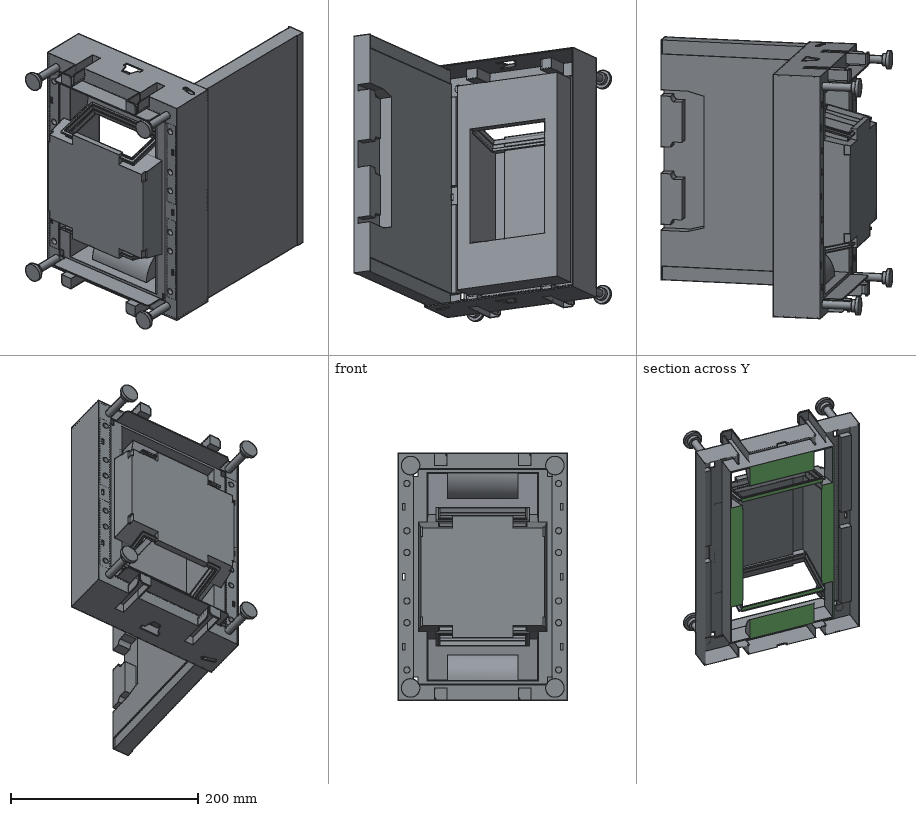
import cadquery as cq
import math

SHEET = 1.3
FRAME_WIDTH = 181.0
FRAME_HEIGHT = 264.0
FRAME_FRONT = -84.8
FRAME_BACK = -33.3
OPENING_WIDTH = 148.2
OPENING_HEIGHT = 229.0
OUTLET_FRONT = -112.2


def box(x_range, y_range, z_range):
    """A box from its lower and upper limits along X, Y and Z."""
    sizes = [high - low for low, high in (x_range, y_range, z_range)]
    corner = (x_range[0], y_range[0], z_range[0])
    return cq.Workplane("XY").box(*sizes, centered=False).translate(corner)


def centred_box(width, y_range, height):
    """A box centred on X = 0 and Z = 0."""
    return box((-width / 2, width / 2), y_range, (-height / 2, height / 2))


def mirrored_in_z(shape):
    """The shape together with its mirror image below Z = 0."""
    return shape.union(shape.mirror("XY"))


def mirrored_in_x(shape):
    """The shape together with its mirror image on the other side of X = 0."""
    return shape.union(shape.mirror("YZ"))


def extruded_across(points, width):
    """A closed (Y, Z) outline extruded symmetrically along X."""
    return cq.Workplane("YZ").polyline(points).close().extrude(width / 2, both=True)


LIP_WIDTH = 132.5
LIP_FRONT = -103.5
LIP_CORNER = 2.6

RAIL_INNER = 75.8
RAIL_OUTER = 87.7
RAIL_DEPTH = 6.5
RAIL_START = 10.5
RAIL_END = 108.3
RAIL_HOLE_X = 81.0
RAIL_HOLE_DIAMETER = 6.5
RAIL_HOLE_DEPTH = 5.3
RAIL_HOLE_HEIGHTS = (26.0, 49.0, 99.5)
SLOT_X = 84.5
SLOT_WIDTH = 2.5
SLOT_HEIGHT = 6.5
SLOT_PITCH = 74.7

SCREW_X = 77.0
SCREW_Z = 118.8
SHANK_DIAMETER = 8.5
COLLAR_DIAMETER = 13.2
COLLAR_BACK = -117.0
HEAD_DIAMETER = 19.8
HEAD_BACK = -121.8
HEAD_FRONT = -125.2

HOOK_X = 45.0
HOOK_WIDTH = 13.2
HOOK_SLOT_WIDTH = 10.8
HOOK_BOTTOM = 119.0
HOOK_FLOOR = HOOK_BOTTOM + SHEET
HOOK_GAP_BACK = -102.2
HOOK_ROUND = 3.5
HOOK_CORNER = 2.6
HOOK_FRONT = -107.5
HOOK_SLOT_FRONT = -105.6
HOOK_SLOT_BACK = -57.3

CATCH_WIDTH = 22.7
CATCH_BACK = -47.0
CATCH_FRONT = -52.0
TONGUE_ROOT = -63.5
TONGUE_ROOT_WIDTH = 9.5
TONGUE_TIP_WIDTH = 17.0
TONGUE_DROP = 6.5

HINGE_SLOT_X = 76.5
HINGE_SLOT_Y = -48.3
HINGE_SLOT_LENGTH = 17.5
HINGE_SLOT_WIDTH = 5.0
HINGE_SLOT_ANGLE = -14.0


def make_tray():
    tray = centred_box(FRAME_WIDTH, (FRAME_FRONT, FRAME_BACK), FRAME_HEIGHT)
    hollow = centred_box(
        FRAME_WIDTH - 2 * SHEET, (FRAME_FRONT + SHEET, FRAME_BACK), FRAME_HEIGHT - 2 * SHEET
    )
    opening = centred_box(OPENING_WIDTH, (FRAME_FRONT, FRAME_BACK), OPENING_HEIGHT)
    return tray.cut(hollow).cut(opening)


def make_lips():
    """Thin plates bent forward from the upper and lower edges of the opening."""
    base = OPENING_HEIGHT / 2
    lip = box(
        (-LIP_WIDTH / 2, LIP_WIDTH / 2), (LIP_FRONT, FRAME_FRONT + SHEET), (base, base + SHEET)
    )
    return mirrored_in_z(lip.edges("|Z and <Y").chamfer(LIP_CORNER))


def make_rails():
    """Backing bars behind the front sheet, two on each side."""
    back = FRAME_FRONT + SHEET
    rail = box((RAIL_INNER, RAIL_OUTER), (back, back + RAIL_DEPTH), (RAIL_START, RAIL_END))
    return mirrored_in_x(mirrored_in_z(rail))


def make_rail_holes():
    points = [
        (side * RAIL_HOLE_X, end * height)
        for side in (-1, 1)
        for end in (-1, 1)
        for height in RAIL_HOLE_HEIGHTS
    ]
    front = cq.Workplane("XZ", origin=(0, FRAME_FRONT, 0))
    return front.pushPoints(points).circle(RAIL_HOLE_DIAMETER / 2).extrude(-RAIL_HOLE_DEPTH)


def make_rail_slots():
    """Slots through the front sheet only."""
    points = [(side * SLOT_X, row * SLOT_PITCH) for side in (-1, 1) for row in (-1, 0, 1)]
    front = cq.Workplane("XZ", origin=(0, FRAME_FRONT, 0))
    return front.pushPoints(points).rect(SLOT_WIDTH, SLOT_HEIGHT).extrude(-SHEET)


def make_screws():
    """Shank, collar and head of the four corner screws."""
    steps = (
        (SHANK_DIAMETER, FRAME_FRONT + SHEET, COLLAR_BACK),
        (COLLAR_DIAMETER, COLLAR_BACK, HEAD_BACK),
        (HEAD_DIAMETER, HEAD_BACK, HEAD_FRONT),
    )
    screw = cq.Workplane("XZ")
    for diameter, back, front in steps:
        step = cq.Workplane("XZ", origin=(SCREW_X, back, SCREW_Z)).circle(diameter / 2)
        screw = screw.union(step.extrude(back - front))
    return mirrored_in_x(mirrored_in_z(screw))


def make_hooks(width, y_range, bottom):
    """Upright blocks at the two upper hook places."""
    top = FRAME_HEIGHT / 2
    block = box((HOOK_X - width / 2, HOOK_X + width / 2), y_range, (bottom, top))
    return mirrored_in_x(block)


def make_hook_gaps():
    """Gap in the right-hand side wall of each upper hook, just behind its end wall."""
    top = FRAME_HEIGHT / 2
    outline = cq.Workplane("YZ").moveTo(HOOK_SLOT_FRONT, HOOK_FLOOR).lineTo(HOOK_GAP_BACK, HOOK_FLOOR)
    outline = outline.lineTo(HOOK_GAP_BACK, top - HOOK_ROUND)
    outline = outline.radiusArc((HOOK_GAP_BACK + HOOK_ROUND, top), HOOK_ROUND)
    gap = outline.lineTo(HOOK_SLOT_FRONT, top).close().extrude(HOOK_WIDTH / 2)
    return gap.translate((-HOOK_X, 0, 0)).union(gap.translate((HOOK_X, 0, 0)))


def make_hook_corners():
    """Wedges that clip the upper right corner of each end wall."""
    top = FRAME_HEIGHT / 2
    edge = HOOK_WIDTH / 2
    wedge = cq.Workplane("XZ", origin=(0, HOOK_SLOT_FRONT, 0))
    wedge = wedge.polyline([(edge, top), (edge - HOOK_CORNER, top), (edge, top - HOOK_CORNER)]).close()
    wedge = wedge.extrude(HOOK_SLOT_FRONT - HOOK_FRONT)
    return wedge.translate((-HOOK_X, 0, 0)).union(wedge.translate((HOOK_X, 0, 0)))


def on_both_ends(shape):
    """The shape together with a copy turned half a revolution about Y."""
    return shape.union(shape.rotate((0, 0, 0), (0, 1, 0), 180))


def make_troughs():
    """Everything removed from the hooks: the troughs, side gaps and clipped corners."""
    slots = make_hooks(HOOK_SLOT_WIDTH, (HOOK_SLOT_FRONT, HOOK_SLOT_BACK), HOOK_FLOOR)
    return on_both_ends(slots.union(make_hook_gaps()).union(make_hook_corners()))


def make_tongue_outline():
    points = [
        (-TONGUE_TIP_WIDTH / 2, CATCH_FRONT),
        (TONGUE_TIP_WIDTH / 2, CATCH_FRONT),
        (TONGUE_ROOT_WIDTH / 2, TONGUE_ROOT),
        (-TONGUE_ROOT_WIDTH / 2, TONGUE_ROOT),
    ]
    return cq.Workplane("XY").polyline(points).close().extrude(FRAME_HEIGHT / 2, both=True)


def make_catch_slots():
    slot = box(
        (-CATCH_WIDTH / 2, CATCH_WIDTH / 2),
        (CATCH_FRONT, CATCH_BACK),
        (-FRAME_HEIGHT / 2, FRAME_HEIGHT / 2),
    )
    return slot.union(make_tongue_outline())


def make_tongues():
    """Tapered tongues bent inward out of the top and bottom walls."""
    top = FRAME_HEIGHT / 2
    sloped_strip = extruded_across(
        [
            (TONGUE_ROOT, top),
            (TONGUE_ROOT, top - SHEET),
            (CATCH_FRONT, top - SHEET - TONGUE_DROP),
            (CATCH_FRONT, top - TONGUE_DROP),
        ],
        CATCH_WIDTH,
    )
    return mirrored_in_z(sloped_strip.intersect(make_tongue_outline()))


def make_hinge_slots():
    slot = cq.Workplane("XY").slot2D(HINGE_SLOT_LENGTH, HINGE_SLOT_WIDTH, HINGE_SLOT_ANGLE)
    slot = slot.extrude(FRAME_HEIGHT / 2, both=True)
    return slot.translate((HINGE_SLOT_X, HINGE_SLOT_Y, 0))


def make_frame():
    frame = make_tray().union(make_lips()).union(make_rails())
    hooks = make_hooks(HOOK_WIDTH, (HOOK_FRONT, HOOK_SLOT_BACK + SHEET), HOOK_BOTTOM)
    frame = frame.union(on_both_ends(hooks)).cut(make_troughs())
    frame = frame.cut(make_rail_holes()).cut(make_rail_slots())
    frame = frame.cut(make_catch_slots()).union(make_tongues())
    return frame.cut(make_hinge_slots()).union(make_screws())


INSERT_FRONT = FRAME_FRONT + SHEET
FLANGE_OVERLAP = 1.3
NOTCH_WIDTH = 4.8
NOTCH_HEIGHT = 7.0
WINDOW_WIDTH = 118.8
WINDOW_HEIGHT = 222.5
WINDOW_DRAFT = 1.0
SLEEVE_WALL = 1.3
INSERT_BACK = CATCH_FRONT

WALL_END_Y = -53.5
WALL_FOOT_Y = -56.0
MIDDLE_BACK_HALF = 66.3
COVER_BACK_WIDTH = 137.5
COVER_BACK_HEIGHT = 116.7
COVER_FRONT_WIDTH = 132.0
COVER_FRONT_HEIGHT = 104.5
COVER_WALL = 3.2

TAB_WIDTH = 65.0
TAB_HEIGHT = 129.5
TAB_BACK = -105.6

POCKET_INNER_X = 64.2
POCKET_BOTTOM = 43.0
POCKET_TOP = 53.3

SOCKET_WIDTH = 100.4
SOCKET_LENGTH = 53.5
SOCKET_DEPTH = 13.2
SOCKET_TILT = 14.0
SOCKET_Y = -84.2
SOCKET_Z = 67.3
COLLAR_WIDTH = 3.0
COLLAR_DEPTH = 2.0
SOCKET_WALL = 1.8
SOCKET_RISE = 1.0
MOUTH_INSET = COLLAR_WIDTH + SOCKET_WALL
MOUTH_DEPTH = 4.5
MOUTH_STEP = 0.8

RAMP_WIDTH = 75.3
RAMP_FRONT = -72.5
RAMP_HEIGHT = 27.7
RAMP_RADIUS = 31.7


def make_flange():
    width = OPENING_WIDTH + 2 * FLANGE_OVERLAP
    height = OPENING_HEIGHT + 2 * FLANGE_OVERLAP
    y_range = (INSERT_FRONT, INSERT_FRONT + SHEET)
    notch = box(
        (OPENING_WIDTH / 2 - NOTCH_WIDTH, width / 2),
        y_range,
        (OPENING_HEIGHT / 2 - NOTCH_HEIGHT, height / 2),
    )
    return centred_box(width, y_range, height).cut(mirrored_in_x(mirrored_in_z(notch)))


def make_sleeve():
    """Walls of the window, leaning inward from the flange to the rear."""
    y_range = (INSERT_FRONT, INSERT_BACK)
    outer = centred_box(WINDOW_WIDTH + 2 * SLEEVE_WALL, y_range, WINDOW_HEIGHT + 2 * SLEEVE_WALL)
    window = cq.Workplane("XZ", origin=(0, INSERT_FRONT, 0)).rect(WINDOW_WIDTH, WINDOW_HEIGHT)
    window = window.workplane(offset=INSERT_FRONT - INSERT_BACK)
    window = window.rect(WINDOW_WIDTH - 2 * WINDOW_DRAFT, WINDOW_HEIGHT - 2 * WINDOW_DRAFT)
    return make_flange().union(outer).cut(window.loft(ruled=True))


def make_rear_wall():
    """Sloping rear wall with the raised middle that carries the cover."""
    upper = [
        (INSERT_BACK, WINDOW_HEIGHT / 2),
        (WALL_END_Y, WINDOW_HEIGHT / 2),
        (WALL_FOOT_Y, MIDDLE_BACK_HALF),
        (INSERT_FRONT, COVER_BACK_HEIGHT / 2),
    ]
    lower = [(y, -z) for y, z in reversed(upper)]
    return extruded_across(upper + lower, WINDOW_WIDTH)


def make_cover():
    cover = cq.Workplane("XZ", origin=(0, INSERT_FRONT, 0)).rect(COVER_BACK_WIDTH, COVER_BACK_HEIGHT)
    cover = cover.workplane(offset=INSERT_FRONT - OUTLET_FRONT)
    cover = cover.rect(COVER_FRONT_WIDTH, COVER_FRONT_HEIGHT).loft(ruled=True)
    pocket = box(
        (POCKET_INNER_X, COVER_BACK_WIDTH / 2), (OUTLET_FRONT, TAB_BACK), (POCKET_BOTTOM, POCKET_TOP)
    )
    return cover.cut(mirrored_in_x(mirrored_in_z(pocket)))


def make_socket_block(inset, rise, depth):
    """A pair of tilted blocks; the inset is measured from the collar's edge."""
    block = box(
        (inset - SOCKET_WIDTH / 2, SOCKET_WIDTH / 2 - inset),
        (inset - SOCKET_LENGTH / 2, SOCKET_LENGTH / 2 - inset),
        (-depth, rise),
    )
    block = block.rotate((0, 0, 0), (1, 0, 0), SOCKET_TILT).translate((0, SOCKET_Y, SOCKET_Z))
    return mirrored_in_z(block)


def make_ramps():
    """Rounded cable ramps at both ends of the window."""
    end = WINDOW_HEIGHT / 2
    centre_y = RAMP_FRONT + RAMP_RADIUS
    sweep = math.asin(RAMP_HEIGHT / RAMP_RADIUS)

    def on_arc(angle):
        return (centre_y - RAMP_RADIUS * math.cos(angle), end - RAMP_RADIUS * math.sin(angle))

    ramp = cq.Workplane("YZ").moveTo(RAMP_FRONT, end).threePointArc(on_arc(sweep / 2), on_arc(sweep))
    ramp = ramp.lineTo(INSERT_BACK, end - RAMP_HEIGHT).lineTo(INSERT_BACK, end).close()
    return mirrored_in_z(ramp.extrude(RAMP_WIDTH / 2, both=True))


def make_hollow():
    """Space inside the raised middle and the cover, open at the rear."""
    upper = [
        (INSERT_BACK, MIDDLE_BACK_HALF - COVER_WALL),
        (WALL_FOOT_Y, MIDDLE_BACK_HALF - COVER_WALL),
        (INSERT_FRONT, COVER_BACK_HEIGHT / 2 - COVER_WALL),
        (OUTLET_FRONT + COVER_WALL, COVER_FRONT_HEIGHT / 2 - COVER_WALL),
    ]
    lower = [(y, -z) for y, z in reversed(upper)]
    return extruded_across(upper + lower, SOCKET_WIDTH - 2 * MOUTH_INSET)


def make_insert():
    insert = make_sleeve().union(make_rear_wall()).union(make_ramps()).union(make_cover())
    insert = insert.union(make_socket_block(0, 0, COLLAR_DEPTH))
    insert = insert.union(make_socket_block(COLLAR_WIDTH, SOCKET_RISE, SOCKET_DEPTH))
    insert = insert.cut(make_hollow())
    insert = insert.cut(make_socket_block(MOUTH_INSET, SOCKET_RISE, SOCKET_DEPTH))
    insert = insert.cut(make_socket_block(MOUTH_INSET - MOUTH_STEP, -MOUTH_DEPTH, SOCKET_DEPTH))
    return insert.union(centred_box(TAB_WIDTH, (OUTLET_FRONT, TAB_BACK), TAB_HEIGHT))


DOOR_FACE = 68.5
DOOR_THICKNESS = 18.8
DOOR_HEIGHT = 261.5
DOOR_HINGE_END = -52.8
DOOR_FREE_END = 125.0
DOOR_TILT = -0.8
DOOR_PIVOT = (74.0, -46.2)
HINGE_BORE = 3.7

BORDER_INNER = 115.7
BORDER_STEP = 1.3
BORDER_END = 123.3

RECESS_DEPTH = 14.5
RECESS_HALF = 76.5
RECESS_TAPER_START = 95.5
RECESS_END = 77.6
RECESS_END_HALF = 71.8

BLOCK_Z = 42.3
BLOCK_HALF = 27.7
BLOCK_NECK_Y = 114.0
BLOCK_SHOULDER_Y = 111.0
BLOCK_END = 101.7
BLOCK_END_HALF = 22.0
BLOCK_ROUND = 6.5

EDGE_LIP = 0.8
EDGE_LIP_LENGTH = 8.7


def make_recess():
    points = [
        (DOOR_FREE_END, RECESS_HALF),
        (RECESS_TAPER_START, RECESS_HALF),
        (RECESS_END, RECESS_END_HALF),
        (RECESS_END, -RECESS_END_HALF),
        (RECESS_TAPER_START, -RECESS_HALF),
        (DOOR_FREE_END, -RECESS_HALF),
    ]
    return cq.Workplane("YZ", origin=(DOOR_FACE, 0, 0)).polyline(points).close().extrude(RECESS_DEPTH)


def make_blocks():
    """Two blocks in the recess, each with hollow rounds between its wide and narrow parts."""
    block = cq.Workplane("YZ", origin=(DOOR_FACE, 0, BLOCK_Z)).moveTo(DOOR_FREE_END, BLOCK_HALF)
    block = block.lineTo(BLOCK_NECK_Y, BLOCK_HALF)
    block = block.radiusArc((BLOCK_SHOULDER_Y, BLOCK_END_HALF), BLOCK_ROUND)
    block = block.lineTo(BLOCK_END, BLOCK_END_HALF).lineTo(BLOCK_END, -BLOCK_END_HALF)
    block = block.lineTo(BLOCK_SHOULDER_Y, -BLOCK_END_HALF)
    block = block.radiusArc((BLOCK_NECK_Y, -BLOCK_HALF), BLOCK_ROUND)
    block = block.lineTo(DOOR_FREE_END, -BLOCK_HALF).close()
    return mirrored_in_z(block.extrude(RECESS_DEPTH))


def make_door():
    outer_face = DOOR_FACE + DOOR_THICKNESS
    half = DOOR_HEIGHT / 2
    door = box((DOOR_FACE, outer_face), (DOOR_HINGE_END, DOOR_FREE_END), (-half, half))
    border = box(
        (DOOR_FACE, DOOR_FACE + BORDER_STEP), (DOOR_HINGE_END, BORDER_END), (BORDER_INNER, half)
    )
    edge_lip = box(
        (outer_face, outer_face + EDGE_LIP),
        (DOOR_FREE_END - EDGE_LIP_LENGTH, DOOR_FREE_END),
        (-half, half),
    )
    bore = cq.Workplane("XY").center(*DOOR_PIVOT).circle(HINGE_BORE / 2).extrude(half, both=True)
    door = door.cut(mirrored_in_z(border)).cut(make_recess()).union(make_blocks())
    door = door.union(edge_lip).cut(bore)
    return door.rotate((*DOOR_PIVOT, 0), (*DOOR_PIVOT, 1), DOOR_TILT)


frame = make_frame()
insert = make_insert()
door = make_door()

result = cq.Compound.makeCompound([body.solids().val() for body in (frame, insert, door)])